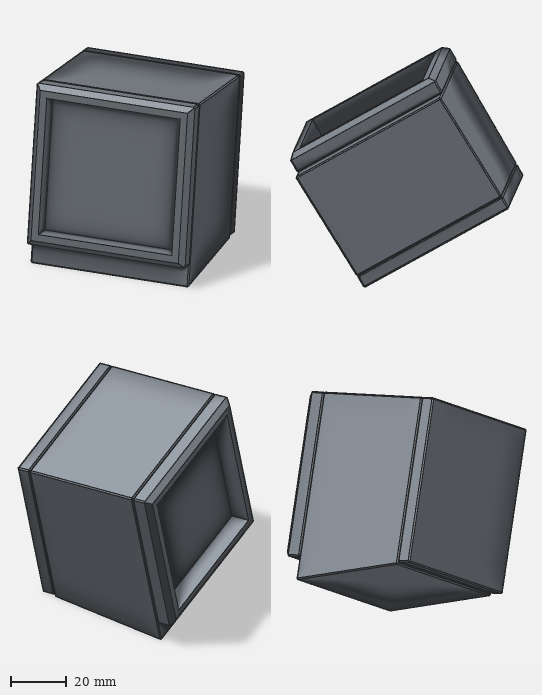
import cadquery as cq
import math


TILT = 10.0
SIDE = 60.0
TOTAL_DEPTH = 55.0
BEZEL_DEPTH = 6.95
COVER_DEPTH = 5.0
EDGE_CHAMFER = 0.5
BEZEL_CHAMFER = 2.0
OPENING_SIDE = 50.8

FRONT_Y = -TOTAL_DEPTH
HOUSING_FRONT_Y = FRONT_Y + BEZEL_DEPTH
HOUSING_REAR_Y = -COVER_DEPTH


def slab(front_y, depth):
    """Square upright slab, standing on Z = 0."""
    block = cq.Workplane("XY").box(SIDE, depth, SIDE, centered=(True, False, False))
    return block.translate((0, front_y, 0))


def tilted(body):
    """Lean a body back about the pivot line along X."""
    return body.rotate((0, 0, 0), (1, 0, 0), -TILT)


def make_bezel():
    """Front frame, with a wide chamfer around its face and a screen opening through it."""
    bezel = slab(FRONT_Y, BEZEL_DEPTH).faces("<Y").chamfer(BEZEL_CHAMFER)
    side_edges = bezel.edges("|Y")
    bezel = bezel.faces(">Y").edges().add(side_edges).chamfer(EDGE_CHAMFER)
    opening = (
        cq.Workplane("XY")
        .box(OPENING_SIDE, BEZEL_DEPTH, OPENING_SIDE)
        .translate((0, FRONT_Y + BEZEL_DEPTH / 2, SIDE / 2))
    )
    return tilted(bezel.cut(opening))


def make_housing():
    """Middle body, whose sloping underside becomes level once the monitor is tilted."""
    slope = math.tan(math.radians(TILT))
    profile = [
        (HOUSING_FRONT_Y, SIDE),
        (HOUSING_REAR_Y, SIDE),
        (HOUSING_REAR_Y, HOUSING_REAR_Y * slope),
        (HOUSING_FRONT_Y, HOUSING_FRONT_Y * slope),
    ]
    housing = cq.Workplane("YZ").polyline(profile).close().extrude(SIDE / 2, both=True)
    return tilted(housing.edges().chamfer(EDGE_CHAMFER))


def make_cover():
    """Plain rear slab."""
    return tilted(slab(HOUSING_REAR_Y, COVER_DEPTH).edges().chamfer(EDGE_CHAMFER))


bezel = make_bezel()
housing = make_housing()
cover = make_cover()

result = cq.Compound.makeCompound([bezel.val(), housing.val(), cover.val()])